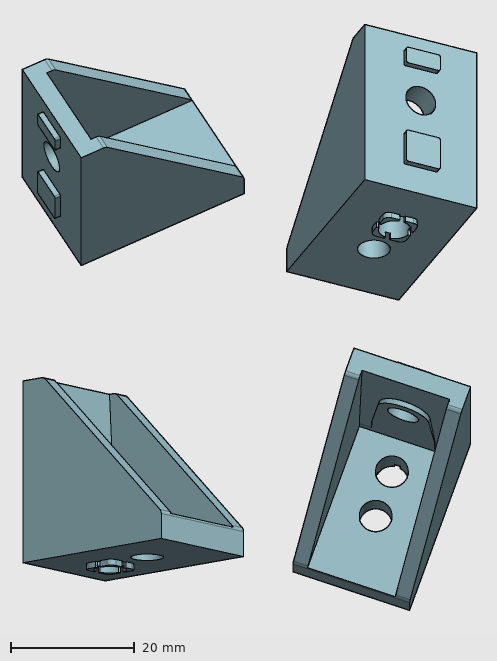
import cadquery as cq
import math

width = 20.0
overall = 31.0
key_height = 1.0
leg = overall - key_height
plate = 4.5
slope_corner = 4.53
slope_fillet = 1.0
pocket_width = 15.0

hole_diameter = 5.3
far_hole = 18.0
near_hole = 10.0

taper_top = 3.15
taper_foot = 6.0
pad_radius = 4.4
pad_foot_half_width = 5.4
pad_foot_top = 9.0

key_size = 6.0
short_key_height = 3.0
key_corner = 0.3
upper_key_z = 25.5
lower_key_z = 8.0
split_key_corner = 1.05
split_gap = 0.95


def side_prism(points, prism_width):
    """Extrude a (Y, Z) outline symmetrically about the centre plane."""
    return cq.Workplane("YZ").polyline(points).close().extrude(prism_width / 2, both=True)


def make_body():
    outline = [(0, 0), (leg, 0), (leg, slope_corner), (slope_corner, leg), (0, leg)]
    body = side_prism(outline, width)
    slope_ends = body.faces(">(0, 1, 1)").edges("|X")
    return body.newObject(slope_ends.vals()).fillet(slope_fillet)


def make_pocket():
    outline = [(plate, plate), (leg, plate), (leg, leg), (taper_top, leg), (plate, taper_foot)]
    return side_prism(outline, pocket_width)


def make_pad():
    """Pad with a round top and flanks that flare towards the floor, flush with the full plate."""
    rise = pad_foot_top - far_hole
    foot_distance = math.hypot(pad_foot_half_width, rise)
    tangent_angle = math.atan2(rise, pad_foot_half_width) + math.acos(pad_radius / foot_distance)
    tangent_x = pad_radius * math.cos(tangent_angle)
    tangent_z = far_hole + pad_radius * math.sin(tangent_angle)
    return (
        cq.Workplane("XZ")
        .moveTo(-pad_foot_half_width, 0)
        .lineTo(pad_foot_half_width, 0)
        .lineTo(pad_foot_half_width, pad_foot_top)
        .lineTo(tangent_x, tangent_z)
        .threePointArc((0, far_hole + pad_radius), (-tangent_x, tangent_z))
        .lineTo(-pad_foot_half_width, pad_foot_top)
        .close()
        .extrude(-plate)
    )


def upright_hole():
    base = cq.Workplane("XZ", origin=(0, 0, far_hole))
    return base.circle(hole_diameter / 2).extrude(-plate)


def floor_hole(y):
    base = cq.Workplane("XY", origin=(0, y, -key_height))
    return base.circle(hole_diameter / 2).extrude(key_height + plate)


def front_key(z, height):
    base = cq.Workplane("XZ", origin=(0, 0, z))
    return base.rect(key_size, height).extrude(key_height).edges("|Y").fillet(key_corner)


def split_key():
    """Rounded square key divided into four by crossing gaps."""
    base = cq.Workplane("XY", origin=(0, near_hole, 0))
    key = base.rect(key_size, key_size).extrude(-key_height)
    key = key.edges("|Z").fillet(split_key_corner)
    for gap_x, gap_y in ((split_gap, key_size), (key_size, split_gap)):
        key = key.cut(base.rect(gap_x, gap_y).extrude(-key_height))
    return key


result = make_body().cut(make_pocket()).union(make_pad())
result = result.union(front_key(upper_key_z, short_key_height))
result = result.union(front_key(lower_key_z, key_size))
result = result.union(split_key())
result = result.cut(upright_hole())
for hole_y in (near_hole, far_hole):
    result = result.cut(floor_hole(hole_y))